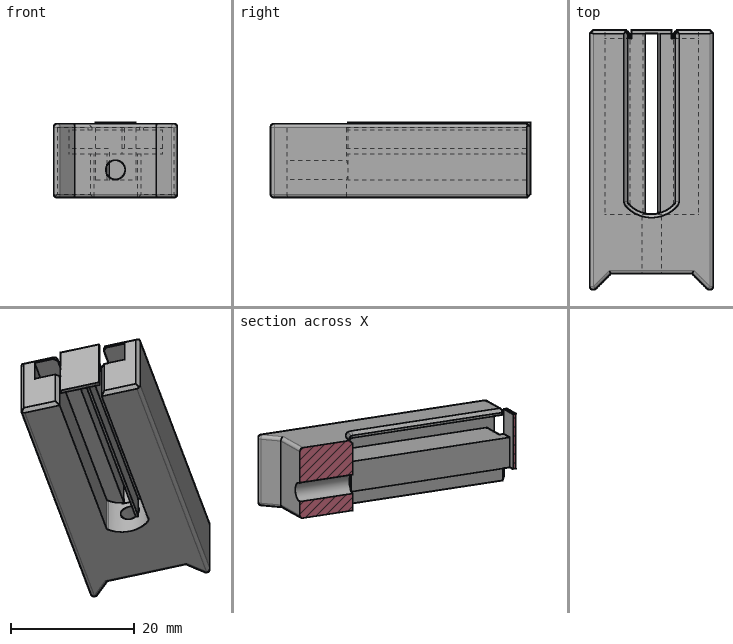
import cadquery as cq
import math

LENGTH = 42.05
WIDTH = 20.0
TOTAL_HEIGHT = 12.2
HOUSING_HEIGHT = 12.0
EDGE = 0.6

NOTCH_DEPTH = 2.6

BORE_DIAMETER = 3.1
BORE_HEIGHT = 4.5

BLADE_INNER = 1.0
BLADE_THICKNESS = 0.4
FLANGE_THICKNESS = 0.9
FLANGE_HALF_WIDTH = 7.55
FLANGE_BACK = 40.67
END_PLATE_HALF_WIDTH = 3.25
END_PLATE_THICKNESS = EDGE
SLIDE_FRONT = 12.3
BLADE_FRONT = 12.55
FLANGE_BOTTOM = 7.1

SLOT_HALF_WIDTH = 3.85
SLOT_END_RADIUS = 5.0
CHANNEL_HALF_WIDTH = 3.55
LIP_THICKNESS = 1.0

END_PLATE_FRONT = LENGTH - END_PLATE_THICKNESS
SLIDE_AXIS_HEIGHT = FLANGE_BOTTOM + FLANGE_THICKNESS / 2
POCKET_TOP = HOUSING_HEIGHT - LIP_THICKNESS
OVERRUN = 2 * EDGE


def block(x_range, y_range, z_range):
    """Box given by its limits along each axis."""
    size = [high - low for low, high in (x_range, y_range, z_range)]
    corner = (x_range[0], y_range[0], z_range[0])
    return cq.Workplane("XY").box(*size, centered=False).translate(corner)


def make_outer_shape():
    half = WIDTH / 2
    point = -math.sqrt(2) * EDGE
    notch_half = half + point - NOTCH_DEPTH
    outline = [
        (-half, point),
        (-notch_half, NOTCH_DEPTH),
        (notch_half, NOTCH_DEPTH),
        (half, point),
        (half, LENGTH),
        (-half, LENGTH),
    ]
    shape = cq.Workplane("XY").polyline(outline).close().extrude(HOUSING_HEIGHT)
    shape = shape.edges("|Z and <Y").fillet(EDGE)
    shape = shape.faces(">Y").edges().chamfer(EDGE)
    return shape.faces("<Z or >Z").edges("not >Y").fillet(EDGE)


def slot_plan(half_width, base_height):
    """Slot outline ending in a shallow arc with rounded corners, open past the back."""
    arc_centre = SLIDE_FRONT + SLOT_END_RADIUS
    corner = arc_centre - math.sqrt(SLOT_END_RADIUS**2 - half_width**2)
    outline = (
        cq.Workplane("XY", origin=(0, 0, base_height))
        .moveTo(half_width, LENGTH + OVERRUN)
        .lineTo(half_width, corner)
        .threePointArc((0, SLIDE_FRONT), (-half_width, corner))
        .lineTo(-half_width, LENGTH + OVERRUN)
        .close()
        .val()
    )
    front_corners = [vertex for vertex in outline.Vertices() if vertex.Y < arc_centre]
    rounded = outline.fillet2D(EDGE, front_corners)
    return cq.Workplane("XY", origin=(0, 0, base_height)).add(rounded).toPending()


def back_flare(half_width, z_low, z_high):
    """Wedge that chamfers the two upright back edges of a slot."""
    points = [
        (-half_width, LENGTH - EDGE),
        (half_width, LENGTH - EDGE),
        (half_width + EDGE, LENGTH),
        (-half_width - EDGE, LENGTH),
    ]
    plane = cq.Workplane("XY", origin=(0, 0, z_low))
    return plane.polyline(points).close().extrude(z_high - z_low)


def make_housing():
    housing = make_outer_shape()

    housing = housing.cut(block(
        (-FLANGE_HALF_WIDTH, FLANGE_HALF_WIDTH),
        (SLIDE_FRONT, LENGTH),
        (FLANGE_BOTTOM, POCKET_TOP),
    ))

    housing = housing.cut(slot_plan(SLOT_HALF_WIDTH, POCKET_TOP).extrude(LIP_THICKNESS))
    rim = slot_plan(SLOT_HALF_WIDTH, HOUSING_HEIGHT - EDGE).extrude(EDGE, taper=-45)
    housing = housing.cut(rim)
    housing = housing.cut(back_flare(SLOT_HALF_WIDTH, POCKET_TOP, HOUSING_HEIGHT))

    housing = housing.cut(slot_plan(CHANNEL_HALF_WIDTH, 0).extrude(FLANGE_BOTTOM))
    housing = housing.cut(back_flare(CHANNEL_HALF_WIDTH, 0, FLANGE_BOTTOM))

    bore = (
        cq.Workplane("XZ", origin=(0, 0, BORE_HEIGHT))
        .circle(BORE_DIAMETER / 2)
        .extrude(-SLIDE_FRONT - OVERRUN)
    )
    return housing.cut(bore)


def make_rail():
    """Angle with its blade pointing up and its flange on the +X side."""
    z_flange = (FLANGE_BOTTOM, FLANGE_BOTTOM + FLANGE_THICKNESS)
    blade = block(
        (BLADE_INNER, BLADE_INNER + BLADE_THICKNESS),
        (BLADE_FRONT, END_PLATE_FRONT),
        (FLANGE_BOTTOM, TOTAL_HEIGHT),
    )
    flange = block((BLADE_INNER, FLANGE_HALF_WIDTH), (SLIDE_FRONT, FLANGE_BACK), z_flange)
    neck = block((BLADE_INNER, END_PLATE_HALF_WIDTH), (FLANGE_BACK, END_PLATE_FRONT), z_flange)
    return blade.union(flange).union(neck)


def make_slide():
    """Rail joined to the end plate, which reaches equally far above and below the axis."""
    end_plate = block(
        (-END_PLATE_HALF_WIDTH, END_PLATE_HALF_WIDTH),
        (END_PLATE_FRONT, LENGTH),
        (2 * SLIDE_AXIS_HEIGHT - TOTAL_HEIGHT, TOTAL_HEIGHT),
    )
    return make_rail().union(end_plate).clean()


def make_lower_rail():
    """Same rail given half a turn, so its blade points down and its flange lies on -X."""
    axis_start = (0, 0, SLIDE_AXIS_HEIGHT)
    axis_end = (0, 1, SLIDE_AXIS_HEIGHT)
    return make_rail().rotate(axis_start, axis_end, 180)


housing = make_housing()
slide = make_slide()
lower_rail = make_lower_rail()

result = cq.Compound.makeCompound([housing.val(), slide.val(), lower_rail.val()])